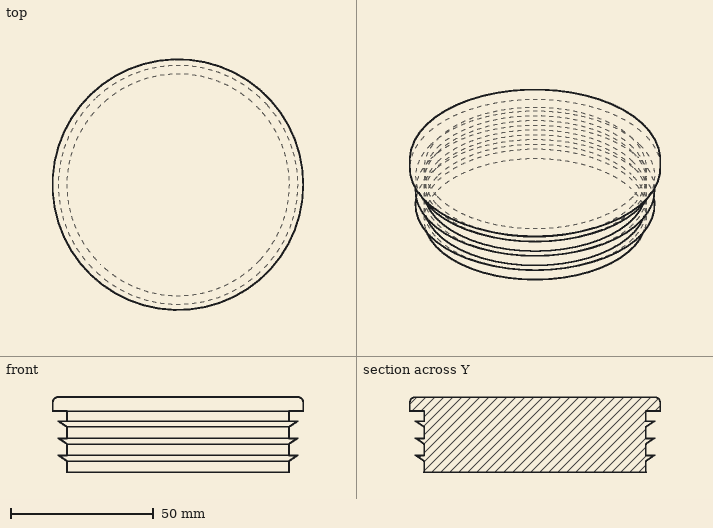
import cadquery as cq

flange_diameter = 88.0
flange_thickness = 5.0
flange_edge_radius = 2.0

total_height = 26.5
body_diameter = 78.0

fin_diameter = 83.95
fin_height = 2.0
fin_count = 3
fin_pitch = 6.0
lowest_fin_bottom = 4.0

body_height = total_height - flange_thickness
body_radius = body_diameter / 2
fin_radius = fin_diameter / 2


def make_flange():
    disc = cq.Workplane("XY").workplane(offset=body_height)
    disc = disc.circle(flange_diameter / 2).extrude(flange_thickness)
    return disc.faces(">Z").edges().fillet(flange_edge_radius)


def make_fin(bottom):
    """Cone frustum that widens upward from the body surface to the fin tip."""
    top = bottom + fin_height
    profile = [(0, bottom), (body_radius, bottom), (fin_radius, top), (0, top)]
    return cq.Workplane("XZ").polyline(profile).close().revolve(360, (0, 0), (0, 1))


body = cq.Workplane("XY").circle(body_radius).extrude(body_height)
result = body.union(make_flange())
for index in range(fin_count):
    result = result.union(make_fin(lowest_fin_bottom + index * fin_pitch))